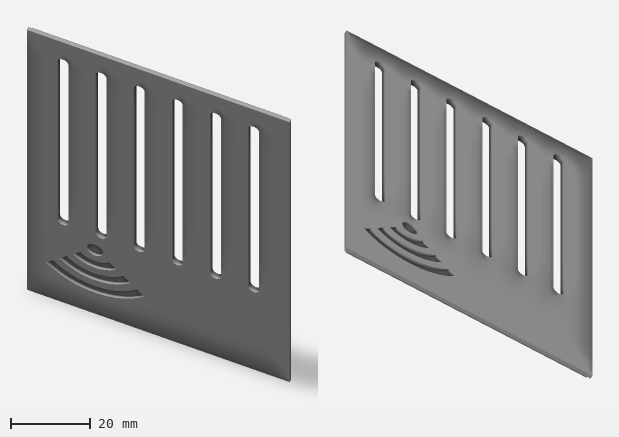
import cadquery as cq
import math

plate_width = 72.0
plate_height = 110.0
plate_thickness = 1.0

total_thickness = 1.6
backing_thickness = total_thickness - plate_thickness
backing_inset = 0.8

slot_count = 6
slot_pitch = 10.5
slot_width = 3.0
slot_length = 70.0
slot_top_margin = 7.3
slot_center_z = plate_height / 2 - slot_top_margin - slot_length / 2

recess_depth = 0.8
symbol_x = -17.4
dot_diameter = 4.5
dot_z = -28.2
band_center_z = -27.2
band_width = 2.8
band_pitch = 5.3
first_band_radius = 5.6
band_count = 3
band_half_angle = math.radians(45)

front_y = -total_thickness / 2


def sketch_plane(y):
    """XZ plane at the given depth, with its extrusion direction towards +Y.

    The local x axis is +X, so the local y axis is -Z.
    """
    return cq.Workplane(cq.Plane(origin=(0, y, 0), xDir=(1, 0, 0), normal=(0, 1, 0)))


def layer(width, height, y, thickness):
    return sketch_plane(y).rect(width, height).extrude(thickness)


def slots():
    first_x = -slot_pitch * (slot_count - 1) / 2
    centers = [(first_x + i * slot_pitch, -slot_center_z) for i in range(slot_count)]
    return (
        sketch_plane(front_y)
        .pushPoints(centers)
        .slot2D(slot_length, slot_width, 90)
        .extrude(total_thickness)
    )


def dot_recess():
    return sketch_plane(front_y).center(symbol_x, -dot_z).circle(dot_diameter / 2).extrude(recess_depth)


def band_recess(inner_radius):
    """Ring sector opening upwards, symmetric about the symbol's vertical axis."""
    outer_radius = inner_radius + band_width
    side = math.sin(band_half_angle)
    drop = math.cos(band_half_angle)
    return (
        sketch_plane(front_y)
        .center(symbol_x, -band_center_z)
        .moveTo(-inner_radius * side, inner_radius * drop)
        .threePointArc((0, inner_radius), (inner_radius * side, inner_radius * drop))
        .lineTo(outer_radius * side, outer_radius * drop)
        .threePointArc((0, outer_radius), (-outer_radius * side, outer_radius * drop))
        .close()
        .extrude(recess_depth)
    )


plate = layer(plate_width, plate_height, front_y, plate_thickness)
backing = layer(
    plate_width - 2 * backing_inset,
    plate_height - 2 * backing_inset,
    front_y + plate_thickness,
    backing_thickness,
)

result = plate.union(backing).cut(slots()).cut(dot_recess())
for band in range(band_count):
    result = result.cut(band_recess(first_band_radius + band * band_pitch))